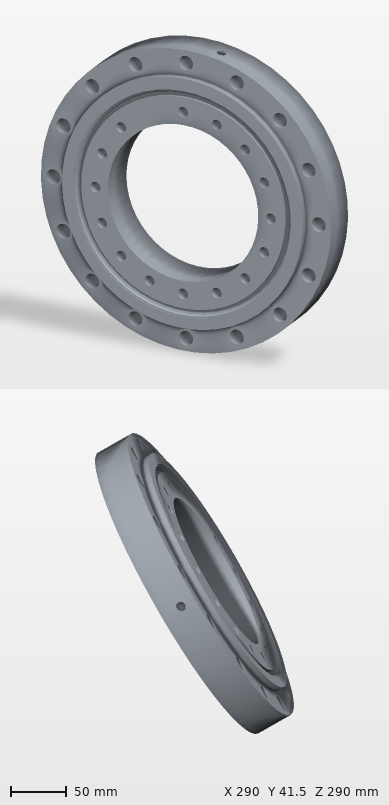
import cadquery as cq
import math

OUTER_RADIUS = 145.0
OUTER_RING_WIDTH = 41.5
COLLAR_RADIUS = 120.4
COLLAR_LENGTH = 7.2
OUTER_RING_BORE_RADIUS = 109.3

BORE_RADIUS = 75.0
INNER_RING_RADIUS = 102.7
FRONT_LAND_RADIUS = 101.8
FRONT_SETBACK = 1.2
BACK_SETBACK = 2.5

SEAL_FLOOR_DEPTH = 4.5
SEAL_RIM_DEPTH = 1.0
SEAL_THICKNESS = 2.3
FLANK_INNER_RADIUS = 105.0
FLANK_OUTER_RADIUS = 108.0
FLANK_BULGE = 0.2

HOLE_POSITIONS = 16
HOLE_PITCH_ANGLE = 360 / HOLE_POSITIONS
OUTER_BOLT_RADIUS = 132.5
OUTER_HOLE_DIAMETER = 14.0
INNER_BOLT_RADIUS = 87.5
INNER_HOLE_DIAMETER = 10.0
OMITTED_INNER_POSITION = 15

PORT_DIAMETER = 8.7
PORT_DEPTH = 11.0
PORT_TIP_ANGLE = 118
PORT_Y = 1.0
PORT_ANGLES = (HOLE_PITCH_ANGLE / 2, HOLE_PITCH_ANGLE / 2 + 180)

FRONT = -OUTER_RING_WIDTH / 2
BACK = OUTER_RING_WIDTH / 2
SHOULDER = FRONT + COLLAR_LENGTH
INNER_FRONT = FRONT + FRONT_SETBACK
INNER_BACK = BACK - BACK_SETBACK
SEAL_FLOOR = FRONT + SEAL_FLOOR_DEPTH
SEAL_RIM = FRONT + SEAL_RIM_DEPTH
SEAL_BACK = SEAL_FLOOR + SEAL_THICKNESS


def revolved(outline):
    """Turn a closed outline of (y, radius) points about the Y axis."""
    return outline.close().revolve(360, (0, 0, 0), (1, 0, 0))


def mounting_holes(diameter, bolt_radius, positions):
    """Through-hole cutters; positions count clockwise from +Z toward +X, seen from the front."""
    centres = []
    for position in positions:
        angle = math.radians(position * HOLE_PITCH_ANGLE)
        centres.append((bolt_radius * math.sin(angle), bolt_radius * math.cos(angle)))
    plane = cq.Workplane("XZ", origin=(0, BACK, 0))
    return plane.pushPoints(centres).circle(diameter / 2).extrude(OUTER_RING_WIDTH)


def rim_port(angle):
    """Blind port cutter drilled inward from the rim, at an angle from +Z toward +X."""
    port_radius = PORT_DIAMETER / 2
    tip_length = port_radius / math.tan(math.radians(PORT_TIP_ANGLE / 2))
    port_floor = OUTER_RADIUS - PORT_DEPTH
    profile = (
        cq.Workplane("XZ")
        .moveTo(0, port_floor - tip_length)
        .lineTo(port_radius, port_floor)
        .lineTo(port_radius, OUTER_RADIUS)
        .lineTo(0, OUTER_RADIUS)
        .close()
    )
    port = profile.revolve(360, (0, 0, 0), (0, 1, 0))
    return port.translate((0, PORT_Y, 0)).rotate((0, 0, 0), (0, 1, 0), angle)


def make_outer_ring():
    outline = cq.Workplane("YZ").polyline([
        (FRONT, OUTER_RING_BORE_RADIUS),
        (FRONT, COLLAR_RADIUS),
        (SHOULDER, COLLAR_RADIUS),
        (SHOULDER, OUTER_RADIUS),
        (BACK, OUTER_RADIUS),
        (BACK, OUTER_RING_BORE_RADIUS),
    ])
    ring = revolved(outline)
    ring = ring.cut(mounting_holes(OUTER_HOLE_DIAMETER, OUTER_BOLT_RADIUS, range(HOLE_POSITIONS)))
    for angle in PORT_ANGLES:
        ring = ring.cut(rim_port(angle))
    return ring


def make_inner_ring():
    outline = cq.Workplane("YZ").polyline([
        (INNER_FRONT, BORE_RADIUS),
        (INNER_FRONT, FRONT_LAND_RADIUS),
        (SEAL_FLOOR, FRONT_LAND_RADIUS),
        (SEAL_FLOOR, INNER_RING_RADIUS),
        (INNER_BACK, INNER_RING_RADIUS),
        (INNER_BACK, BORE_RADIUS),
    ])
    positions = [p for p in range(HOLE_POSITIONS) if p != OMITTED_INNER_POSITION]
    return revolved(outline).cut(mounting_holes(INNER_HOLE_DIAMETER, INNER_BOLT_RADIUS, positions))


def flank_point(fraction, bulge):
    """Point part-way up the straight flank line, pushed off that line toward the front."""
    rise = SEAL_RIM - SEAL_FLOOR
    run = FLANK_OUTER_RADIUS - FLANK_INNER_RADIUS
    length = math.hypot(rise, run)
    y = SEAL_FLOOR + fraction * rise - bulge * run / length
    radius = FLANK_INNER_RADIUS + fraction * run + bulge * rise / length
    return (y, radius)


def make_seal():
    """Ring filling the gap; its flank is convex near the floor and hollow near the rim."""
    outline = (
        cq.Workplane("YZ")
        .moveTo(SEAL_BACK, INNER_RING_RADIUS)
        .lineTo(SEAL_FLOOR, INNER_RING_RADIUS)
        .lineTo(SEAL_FLOOR, FLANK_INNER_RADIUS)
        .threePointArc(flank_point(0.25, FLANK_BULGE), flank_point(0.5, 0))
        .threePointArc(flank_point(0.75, -FLANK_BULGE), flank_point(1, 0))
        .lineTo(SEAL_RIM, OUTER_RING_BORE_RADIUS)
        .lineTo(SEAL_BACK, OUTER_RING_BORE_RADIUS)
    )
    return revolved(outline)


outer_ring = make_outer_ring()
inner_ring = make_inner_ring()
seal = make_seal()

result = cq.Compound.makeCompound([outer_ring.val(), inner_ring.val(), seal.val()])